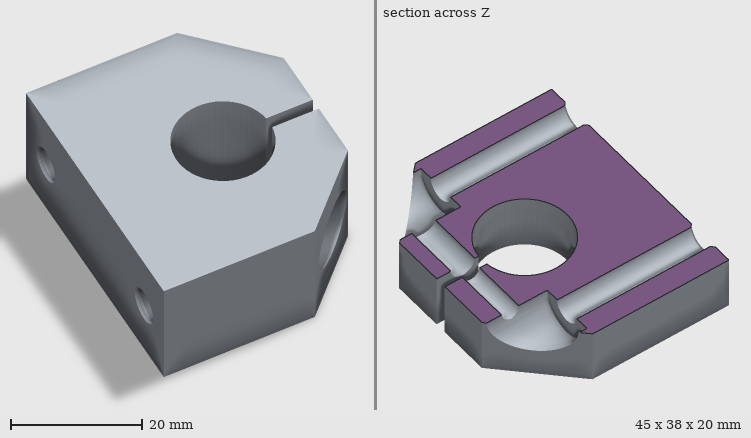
import cadquery as cq

width = 45.0
depth = 38.0
height = 20.0
corner_cut = 12.0

bore_diameter = 16.0
bore_y = 22.0
slot_width = 2.0

mount_spacing = 32.0
mount_diameter = 4.9
countersink_diameter = 6.0
countersink_depth = 0.55
counterbore_diameter = 10.0
counterbore_floor_y = depth - corner_cut

thread_diameter = 3.25
clearance_diameter = 4.5
clamp_to_back = 5.0


def make_body():
    """Block with both back corners cut off at 45 degrees."""
    block = cq.Workplane("XY").box(width, depth, height, centered=(True, False, True))
    return block.edges("|Z and >Y").chamfer(corner_cut)


def make_bore_and_slot():
    """Vertical shaft bore joined to the slot that opens at the back."""
    slot_length = depth - bore_y
    bore = (
        cq.Workplane("XY")
        .center(0, bore_y)
        .circle(bore_diameter / 2)
        .extrude(height / 2, both=True)
    )
    slot = (
        cq.Workplane("XY")
        .box(slot_width, slot_length, height, centered=(True, False, True))
        .translate((0, bore_y, 0))
    )
    return bore.union(slot)


def make_mount_hole(x):
    """Stepped hole along Y, turned from its half section about the hole axis."""
    hole_radius = mount_diameter / 2
    counterbore_radius = counterbore_diameter / 2
    return (
        cq.Workplane("XY")
        .moveTo(0, 0)
        .lineTo(countersink_diameter / 2, 0)
        .lineTo(hole_radius, countersink_depth)
        .lineTo(hole_radius, counterbore_floor_y)
        .lineTo(counterbore_radius, counterbore_floor_y)
        .lineTo(counterbore_radius, depth)
        .lineTo(0, depth)
        .close()
        .revolve(360, (0, 0, 0), (0, 1, 0))
        .translate((x, 0, 0))
    )


def make_clamp_hole(diameter, direction):
    """Screw hole through one clamping jaw, from the slot out to the side."""
    return (
        cq.Workplane("YZ")
        .center(depth - clamp_to_back, 0)
        .circle(diameter / 2)
        .extrude(direction * width / 2)
    )


result = make_body().cut(make_bore_and_slot())
result = result.cut(make_clamp_hole(thread_diameter, -1))
result = result.cut(make_clamp_hole(clearance_diameter, 1))
for side in (-1, 1):
    result = result.cut(make_mount_hole(side * mount_spacing / 2))